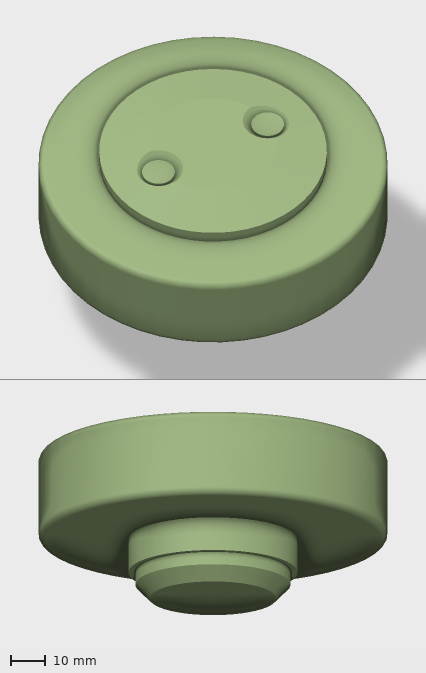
import cadquery as cq

wheel_radius = 50.6
wheel_bottom = 17.6
wheel_top = 42.6
wheel_edge_radius = 1.9

collar_radius = 24.5
collar_bottom = 7.8
pin_radius = 22.5
pin_chamfer = 4.0

flange_radius = 33.0
flange_top = 46.2
crown_radius = 18.5
total_height = 49.0

socket_offset = crown_radius
socket_floor_radius = 4.8
socket_rim_radius = 7.2
socket_depth = 2.4
plug_height = 0.9


def disc(radius, bottom, top):
    """Solid cylinder about Z between two heights."""
    return cq.Workplane("XY").workplane(offset=bottom).circle(radius).extrude(top - bottom)


def make_flange():
    """Flange and its cone, revolved about Z."""
    profile = [
        (0, wheel_top),
        (flange_radius, wheel_top),
        (flange_radius, flange_top),
        (crown_radius, total_height),
        (0, total_height),
    ]
    return cq.Workplane("XZ").polyline(profile).close().revolve(360, (0, 0), (0, 1))


def make_socket(y):
    """Conical cutter that leaves a plug standing on the socket floor."""
    floor = total_height - socket_depth
    cone = cq.Solid.makeCone(
        socket_floor_radius,
        socket_rim_radius,
        socket_depth,
        pnt=cq.Vector(0, y, floor),
    )
    plug = disc(socket_floor_radius, floor, floor + plug_height).translate((0, y, 0))
    return cq.Workplane(cone).cut(plug)


wheel = disc(wheel_radius, wheel_bottom, wheel_top).edges().fillet(wheel_edge_radius)
collar = disc(collar_radius, collar_bottom, wheel_bottom)
pin = disc(pin_radius, 0, collar_bottom).faces("<Z").edges().chamfer(pin_chamfer)

result = wheel.union(collar).union(pin).union(make_flange())
for side in (-1, 1):
    result = result.cut(make_socket(side * socket_offset))